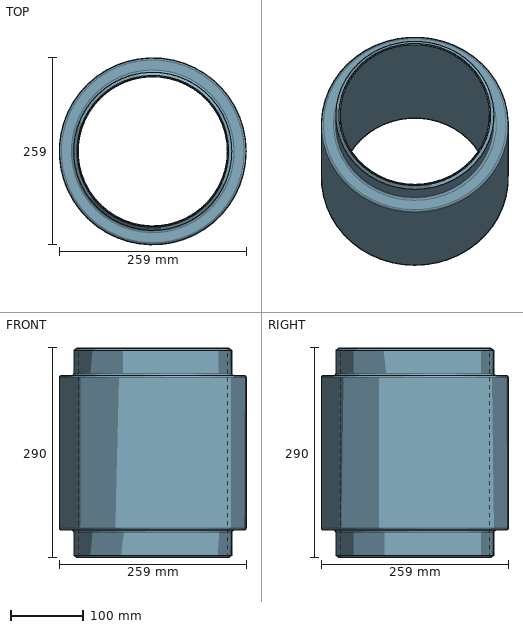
import cadquery as cq

length = 290.0
collar_diameter = 259.0
collar_length = 214.0
sleeve_diameter = 219.0
bore_diameter = 206.5

collar_edge_radius = 3.0
root_radius = 3.2
end_chamfer_height = 3.2
end_chamfer_depth = 4.4


def cylinder(diameter, height):
    """Vertical cylinder centred on the origin."""
    return cq.Workplane("XY").cylinder(height, diameter / 2)


def make_collar():
    """Thick middle section with rounded rims."""
    return cylinder(collar_diameter, collar_length).faces("<Z or >Z").edges().fillet(collar_edge_radius)


def make_sleeve():
    """Full-length round body whose end bevels run deeper in radius than in height."""
    body = cylinder(sleeve_diameter, length)
    return body.faces("<Z or >Z").chamfer(end_chamfer_height, end_chamfer_depth)


def round_roots(body):
    """Fillet the inside corners where the sleeve leaves the collar."""
    reach = sleeve_diameter / 2 + root_radius
    half_height = collar_length / 2 + root_radius
    root_box = cq.selectors.BoxSelector(
        (-reach, -reach, -half_height),
        (reach, reach, half_height),
        boundingbox=True,
    )
    return body.edges(root_box).fillet(root_radius)


outer_body = round_roots(make_collar().union(make_sleeve()))
result = outer_body.cut(cylinder(bore_diameter, length))